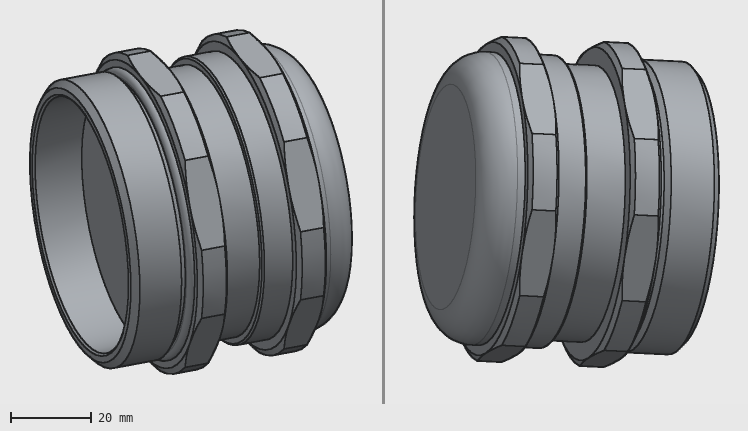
import cadquery as cq
import math

length = 61.0
body_radius = 73.05 / 2
neck_radius = 69.0 / 2

entry_tip_radius = 69.5 / 2
entry_chamfer = 1.7
groove_start = 12.8
groove_end = 14.5
groove_radius = 34.9

bead_radius = 37.1

hex_across_flats = 78
hex_corner_radius = 40.6
hex_thickness = 8.05
hex_chamfer_angle = 30
front_hex_start = 16.1
rear_hex_start = 42.5

cap_start = 34.45
cap_edge_chamfer = 0.5
dome_radius = 8.45

bore_radius = 65 / 2
bore_depth = 13
bore_chamfer = 0.6


def make_body():
    """Revolve the round outer profile about the Y axis."""
    bead_width = front_hex_start - groove_end
    bead_edge_radius = bead_radius - bead_width
    bead_mid_offset = bead_width * math.sqrt(0.5)
    bead_middle = (bead_edge_radius + bead_mid_offset, front_hex_start - bead_mid_offset)
    dome_start = length - dome_radius
    dome_top_radius = body_radius - dome_radius
    dome_mid_offset = dome_radius * math.sqrt(0.5)
    dome_middle = (dome_top_radius + dome_mid_offset, dome_start + dome_mid_offset)
    profile = (
        cq.Workplane("XY")
        .moveTo(0, 0)
        .lineTo(entry_tip_radius, 0)
        .lineTo(body_radius, entry_chamfer)
        .lineTo(body_radius, groove_start)
        .lineTo(groove_radius, groove_end)
        .lineTo(bead_edge_radius, groove_end)
        .threePointArc(bead_middle, (bead_radius, front_hex_start))
        .lineTo(neck_radius, front_hex_start)
        .lineTo(neck_radius, cap_start)
        .lineTo(body_radius - cap_edge_chamfer, cap_start)
        .lineTo(body_radius, cap_start + cap_edge_chamfer)
        .lineTo(body_radius, dome_start)
        .threePointArc(dome_middle, (dome_top_radius, length))
        .lineTo(0, length)
        .close()
    )
    return profile.revolve(360, (0, 0), (0, 1))


def make_hexagon(start):
    """Hexagon with flats facing +Z and -Z, its corners turned round and chamfered."""
    face_radius = hex_across_flats / 2
    chamfer_depth = (hex_corner_radius - face_radius) * math.tan(math.radians(hex_chamfer_angle))
    across_corners = hex_across_flats / math.cos(math.pi / 6)
    end = start + hex_thickness
    prism = (
        cq.Workplane("XZ", origin=(0, start, 0))
        .polygon(6, across_corners)
        .extrude(-hex_thickness)
    )
    turned_blank = (
        cq.Workplane("XY")
        .moveTo(0, start)
        .lineTo(face_radius, start)
        .lineTo(hex_corner_radius, start + chamfer_depth)
        .lineTo(hex_corner_radius, end - chamfer_depth)
        .lineTo(face_radius, end)
        .lineTo(0, end)
        .close()
        .revolve(360, (0, 0), (0, 1))
    )
    return prism.intersect(turned_blank)


def make_bore():
    """Blind bore with a small chamfer at its mouth."""
    return (
        cq.Workplane("XY")
        .moveTo(0, 0)
        .lineTo(bore_radius + bore_chamfer, 0)
        .lineTo(bore_radius, bore_chamfer)
        .lineTo(bore_radius, bore_depth)
        .lineTo(0, bore_depth)
        .close()
        .revolve(360, (0, 0), (0, 1))
    )


result = make_body()
for hex_start in (front_hex_start, rear_hex_start):
    result = result.union(make_hexagon(hex_start))
result = result.cut(make_bore())